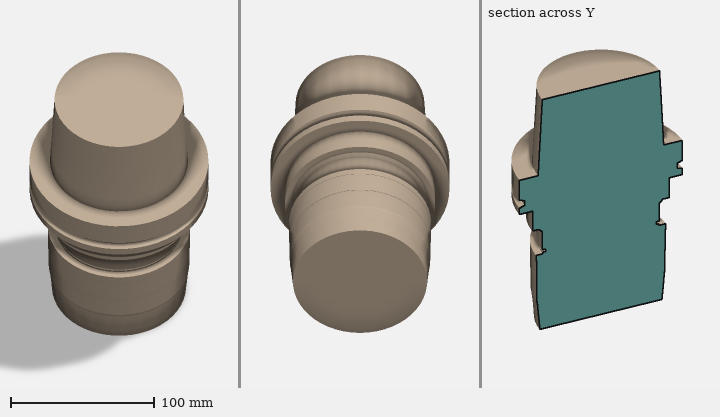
import cadquery as cq

total_height = 192.0

nose_tip_diameter = 93.7
nose_top_diameter = 97.5
nose_top_z = 22.0
lower_body_diameter = 98.3
lower_body_bottom_z = 23.8
middle_body_diameter = 98.9
middle_body_bottom_z = 40.9
upper_body_diameter = 99.5
upper_body_bottom_z = 58.0
body_top_z = 63.0

lip_diameter = 89.0
lip_top_z = 64.3
relief_diameter = 85.0
relief_top_z = 66.0
neck_diameter = 90.0
neck_top_z = 81.2

neck_cone_top_diameter = 95.0
collar_diameter = 105.0
collar_bottom_z = 83.7

flange_diameter = 125.0
flange_bottom_z = 100.2
flange_top_z = 129.2
groove_diameter = 117.0
groove_bottom_z = 105.8
groove_top_z = 112.1
groove_wall_rise = 1.3

shank_base_diameter = 96.4
shank_top_diameter = 90.0


def frustum(bottom_z, top_z, bottom_diameter, top_diameter):
    """Solid cone section between two heights on the Z axis."""
    return (
        cq.Workplane("XZ")
        .polyline([
            (0, bottom_z),
            (bottom_diameter / 2, bottom_z),
            (top_diameter / 2, top_z),
            (0, top_z),
        ])
        .close()
        .revolve(360, (0, 0), (0, 1))
    )


def cylinder(bottom_z, top_z, diameter):
    """Solid cylinder between two heights on the Z axis."""
    return frustum(bottom_z, top_z, diameter, diameter)


def make_body():
    """Tapered nose, small shoulder cone and three slightly stepped bands."""
    return (
        frustum(0, nose_top_z, nose_tip_diameter, nose_top_diameter)
        .union(frustum(nose_top_z, lower_body_bottom_z, nose_top_diameter, lower_body_diameter))
        .union(cylinder(lower_body_bottom_z, middle_body_bottom_z, lower_body_diameter))
        .union(cylinder(middle_body_bottom_z, upper_body_bottom_z, middle_body_diameter))
        .union(cylinder(upper_body_bottom_z, body_top_z, upper_body_diameter))
    )


def make_neck():
    """Lip, relief groove, neck, cone and collar."""
    return (
        cylinder(body_top_z, lip_top_z, lip_diameter)
        .union(cylinder(lip_top_z, relief_top_z, relief_diameter))
        .union(cylinder(relief_top_z, neck_top_z, neck_diameter))
        .union(frustum(neck_top_z, collar_bottom_z, neck_diameter, neck_cone_top_diameter))
        .union(cylinder(collar_bottom_z, flange_bottom_z, collar_diameter))
    )


def make_flange():
    """Flange whose groove has sloped walls and a flat floor."""
    floor_bottom_z = groove_bottom_z + groove_wall_rise
    floor_top_z = groove_top_z - groove_wall_rise
    return (
        cylinder(flange_bottom_z, groove_bottom_z, flange_diameter)
        .union(frustum(groove_bottom_z, floor_bottom_z, flange_diameter, groove_diameter))
        .union(cylinder(floor_bottom_z, floor_top_z, groove_diameter))
        .union(frustum(floor_top_z, groove_top_z, groove_diameter, flange_diameter))
        .union(cylinder(groove_top_z, flange_top_z, flange_diameter))
    )


shank = frustum(flange_top_z, total_height, shank_base_diameter, shank_top_diameter)

result = make_body().union(make_neck()).union(make_flange()).union(shank)